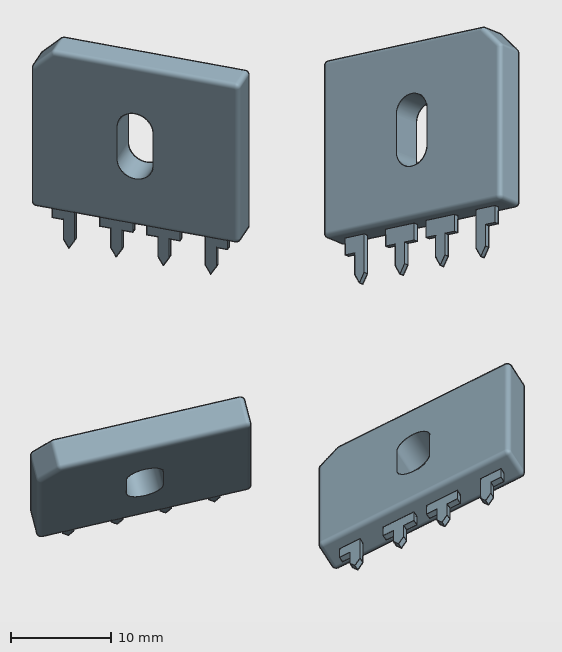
import cadquery as cq

total_height = 23.55
body_width = 22.05
body_thickness = 3.45
body_height = 18.53
corner_cut = 2.25
edge_radius = 0.5

slot_width = 3.8
slot_length = 7.6

lead_thickness = 0.6
lead_width = 1.18
shoulder_depth = 1.77
outer_shoulder_width = 2.35
inner_shoulder_width = 3.53
tip_height = 1.0
lead_root = 0.95
outer_lead_x = 7.51
inner_lead_x = 2.5

half_width = body_width / 2
body_bottom = total_height - body_height
shoulder_bottom = body_bottom - shoulder_depth
root_top = body_bottom + lead_root


def extrude_centered(profile, thickness):
    """Extrude an XZ profile equally to both sides of the Y = 0 plane."""
    return profile.extrude(thickness / 2, both=True)


def make_body():
    outline = cq.Workplane("XZ").polyline([
        (-half_width, body_bottom),
        (half_width, body_bottom),
        (half_width, total_height),
        (-half_width + corner_cut, total_height),
        (-half_width, total_height - corner_cut),
    ]).close()
    block = extrude_centered(outline, body_thickness).edges().fillet(edge_radius)
    slot_center_z = body_bottom + body_height / 2
    slot = (
        cq.Workplane("XZ")
        .center(0, slot_center_z)
        .slot2D(slot_length, slot_width, 90)
    )
    return block.cut(extrude_centered(slot, body_thickness))


def make_lead(center_x, shoulder_left, shoulder_width):
    """Lead with its shank on center_x; the shoulder starts at shoulder_left."""
    shank_left = center_x - lead_width / 2
    shank_right = center_x + lead_width / 2
    shank_outline = cq.Workplane("XZ").polyline([
        (shank_left, root_top),
        (shank_left, tip_height),
        (center_x, 0),
        (shank_right, tip_height),
        (shank_right, root_top),
    ]).close()
    shoulder_height = root_top - shoulder_bottom
    shoulder_outline = (
        cq.Workplane("XZ")
        .center(shoulder_left, shoulder_bottom)
        .rect(shoulder_width, shoulder_height, centered=False)
    )
    shank = extrude_centered(shank_outline, lead_thickness)
    return shank.union(extrude_centered(shoulder_outline, lead_thickness))


inner_lead = make_lead(inner_lead_x, inner_lead_x - inner_shoulder_width / 2, inner_shoulder_width)
outer_lead = make_lead(outer_lead_x, outer_lead_x - lead_width / 2, outer_shoulder_width)

result = make_body()
for lead in (inner_lead, outer_lead):
    result = result.union(lead).union(lead.mirror("YZ"))